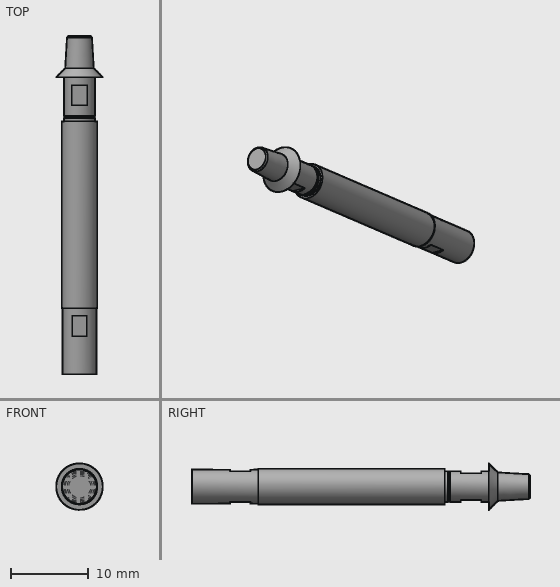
import cadquery as cq

TOTAL_LENGTH = 43.4
FLANGE_RADIUS = 3.0
BODY_RADIUS = 2.3
TAIL_RADIUS = 2.2
PLUNGER_RADIUS = 2.0

TIP_RADIUS = 1.62
TIP_CHAMFER = 0.2
TAPER_BASE_RADIUS = 1.85
TAPER_END = 4.15

FLANGE_BACK = 5.3

GROOVE_CENTRE = 10.4
GROOVE_WIDTH = 0.3
GROOVE_DEPTH = 0.15

BODY_START = 10.95
BODY_END = 34.9

FLAT_LENGTH = 2.6
FLAT_SETBACK = 1.0
PLUNGER_FLAT_START = FLANGE_BACK + FLAT_SETBACK
PLUNGER_FLAT_HEIGHT = 1.73
TAIL_FLAT_START = BODY_END + FLAT_SETBACK
TAIL_FLAT_HEIGHT = 2.0


def axial(distance_from_tip):
    """Y position of a point on the axis, with the part centred on the origin."""
    return TOTAL_LENGTH / 2 - distance_from_tip


def turned_body():
    """Revolve the half profile, given as (radius, distance from the tip)."""
    profile = [
        (0, 0),
        (TIP_RADIUS - TIP_CHAMFER, 0),
        (TIP_RADIUS, TIP_CHAMFER),
        (TAPER_BASE_RADIUS, TAPER_END),
        (FLANGE_RADIUS, FLANGE_BACK),
        (PLUNGER_RADIUS, FLANGE_BACK),
        (PLUNGER_RADIUS, GROOVE_CENTRE - GROOVE_WIDTH / 2),
        (PLUNGER_RADIUS - GROOVE_DEPTH, GROOVE_CENTRE),
        (PLUNGER_RADIUS, GROOVE_CENTRE + GROOVE_WIDTH / 2),
        (PLUNGER_RADIUS, BODY_START),
        (BODY_RADIUS, BODY_START),
        (BODY_RADIUS, BODY_END),
        (TAIL_RADIUS, BODY_END),
        (TAIL_RADIUS, TOTAL_LENGTH),
        (0, TOTAL_LENGTH),
    ]
    points = [(radius, axial(distance)) for radius, distance in profile]
    return cq.Workplane("XY").polyline(points).close().revolve(360, (0, 0), (0, 1))


def cut_flats(part, start, height, radius):
    """Cut two opposite flats at +height and -height into a shaft of the given radius."""
    middle = axial(start + FLAT_LENGTH / 2)
    for side in (1, -1):
        cutter = cq.Workplane("XY").box(2 * radius, FLAT_LENGTH, radius)
        part = part.cut(cutter.translate((0, middle, side * (height + radius / 2))))
    return part


result = turned_body()
result = cut_flats(result, PLUNGER_FLAT_START, PLUNGER_FLAT_HEIGHT, PLUNGER_RADIUS)
result = cut_flats(result, TAIL_FLAT_START, TAIL_FLAT_HEIGHT, TAIL_RADIUS)